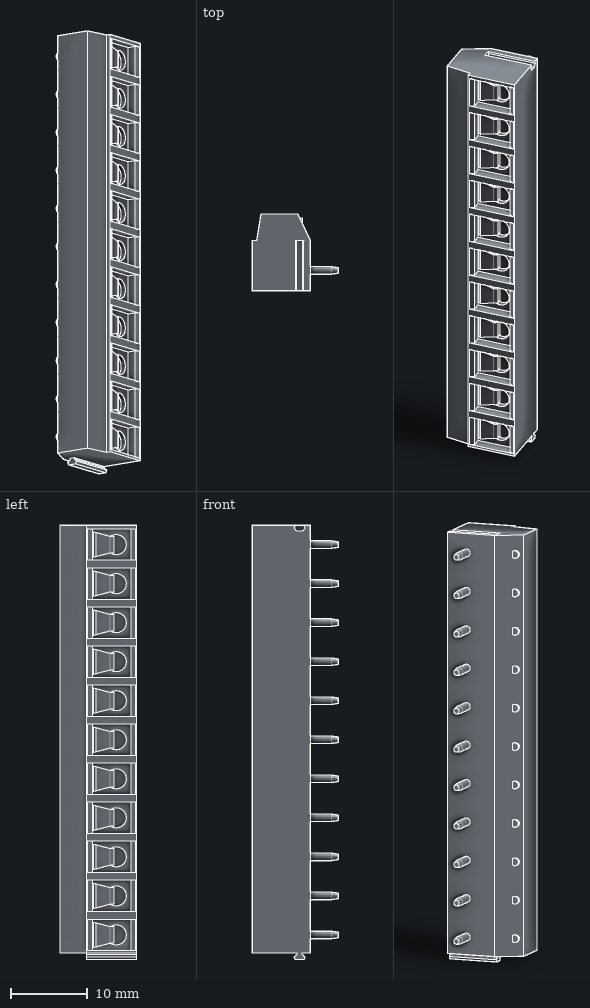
import cadquery as cq


pole_count = 11
pole_span = 50.8
first_pole_z = 2.4
pole_pitch = pole_span / (pole_count - 1)

body_length = 55.7
body_depth = 7.6
body_width = 10.0
shoulder_y = 6.55
step_x = 0.55
crown_start_x = 1.15
crown_end_x = 5.95

joint_x = 6.15
rail_height = 0.85
rail_neck_height = 0.15
rail_neck_half_width = 0.35
joint_wide_half_width = 0.75
rail_end_half_width = 0.55
groove_mouth_half_width = 0.5
groove_depth = 0.8
groove_floor_half_width = 0.4

pocket_height = 4.1
pocket_depth = 1.4
pocket_low_y = 0.15
pocket_low_floor_y = 0.75
pocket_low_bevel_depth = 0.3
pocket_high_y = 6.4
pocket_high_floor_y = 5.75
pocket_high_bevel_depth = 0.3

pin_y = 2.65
hole_radius = 1.3
hole_bottom_x = 2.1
tongue_root_y = 5.6
tongue_flat_start_y = 5.3
tongue_flat_end_y = 3.45
tongue_tip_y = 2.95
tongue_rise = 0.3
tongue_tip_drop = 0.3
tongue_root_half_width = 1.65
tongue_tip_half_width = 1.1

pin_radius = 0.5
pin_shank_end_x = 10.3
pin_end_x = 11.2
pin_tip_taper = 0.14
stud_y = 9.0
stud_end_x = 6.55

pole_heights = [first_pole_z + i * pole_pitch for i in range(pole_count)]


def extrude_in_z(points, z_start, z_end):
    """Prism along Z from an (x, y) outline."""
    return cq.Workplane("XY").workplane(offset=z_start).polyline(points).close().extrude(z_end - z_start)


def extrude_to_shoulder(half_points):
    """Prism along Y, up to the shoulder, mirrored about the joint line from (half width, z) points."""
    right = [(joint_x + half, z) for half, z in half_points]
    left = [(joint_x - half, z) for half, z in reversed(half_points)]
    return cq.Workplane("XZ").polyline(right + left).close().extrude(-shoulder_y)


def rod(y, z, x_start, x_end, radius):
    """Round bar along X."""
    return cq.Workplane("YZ", origin=(x_start, 0, 0)).center(y, z).circle(radius).extrude(x_end - x_start)


def make_housing():
    outline = [
        (0, 0),
        (body_depth, 0),
        (body_depth, shoulder_y),
        (crown_end_x, body_width),
        (crown_start_x, body_width),
        (step_x, shoulder_y),
        (0, shoulder_y),
    ]
    return extrude_in_z(outline, 0, body_length)


def make_rail():
    rail_wide_z = -(rail_neck_height + rail_height) / 2
    return extrude_to_shoulder([
        (rail_neck_half_width, rail_neck_height),
        (rail_neck_half_width, -rail_neck_height),
        (joint_wide_half_width, rail_wide_z),
        (rail_end_half_width, -rail_height),
    ])


def make_groove():
    return extrude_to_shoulder([
        (groove_mouth_half_width, body_length),
        (joint_wide_half_width, body_length - groove_depth / 2),
        (groove_floor_half_width, body_length - groove_depth),
    ])


def make_pocket(z):
    """Rectangular pocket with bevelled ends."""
    outline = [
        (0, pocket_low_y),
        (pocket_low_bevel_depth, pocket_low_floor_y),
        (pocket_depth, pocket_low_floor_y),
        (pocket_depth, pocket_high_floor_y),
        (pocket_high_bevel_depth, pocket_high_floor_y),
        (0, pocket_high_y),
    ]
    return extrude_in_z(outline, z - pocket_height / 2, z + pocket_height / 2)


def make_tongue(z):
    """Raised tongue: bevelled root, flat back, rounded tip, narrowing towards the hole."""
    face_x = pocket_depth - tongue_rise
    tip_x = face_x + tongue_tip_drop
    profile = (
        cq.Workplane("XY")
        .workplane(offset=z - tongue_root_half_width)
        .moveTo(hole_bottom_x, tongue_root_y)
        .lineTo(pocket_depth, tongue_root_y)
        .lineTo(face_x, tongue_flat_start_y)
        .lineTo(face_x, tongue_flat_end_y)
        .tangentArcPoint((tip_x, tongue_tip_y), relative=False)
        .lineTo(hole_bottom_x, tongue_tip_y)
        .close()
        .extrude(2 * tongue_root_half_width)
    )
    plan = (
        cq.Workplane("YZ")
        .polyline([
            (tongue_root_y, z - tongue_root_half_width),
            (tongue_flat_end_y, z - tongue_tip_half_width),
            (tongue_tip_y, z - tongue_tip_half_width),
            (tongue_tip_y, z + tongue_tip_half_width),
            (tongue_flat_end_y, z + tongue_tip_half_width),
            (tongue_root_y, z + tongue_root_half_width),
        ])
        .close()
        .extrude(hole_bottom_x)
    )
    return profile.intersect(plan)


def make_pin(z):
    """Solder pin with a tapered tip."""
    shank = rod(pin_y, z, body_depth / 2, pin_end_x, pin_radius)
    return shank.faces(">X").chamfer(pin_end_x - pin_shank_end_x, pin_tip_taper)


result = make_housing().union(make_rail()).cut(make_groove())
for pole_z in pole_heights:
    hole = rod(pin_y, pole_z, pocket_depth, hole_bottom_x, hole_radius)
    result = result.cut(make_pocket(pole_z)).cut(hole)
    result = result.union(make_tongue(pole_z))
    result = result.union(make_pin(pole_z))
    result = result.union(rod(stud_y, pole_z, body_depth / 2, stud_end_x, pin_radius))